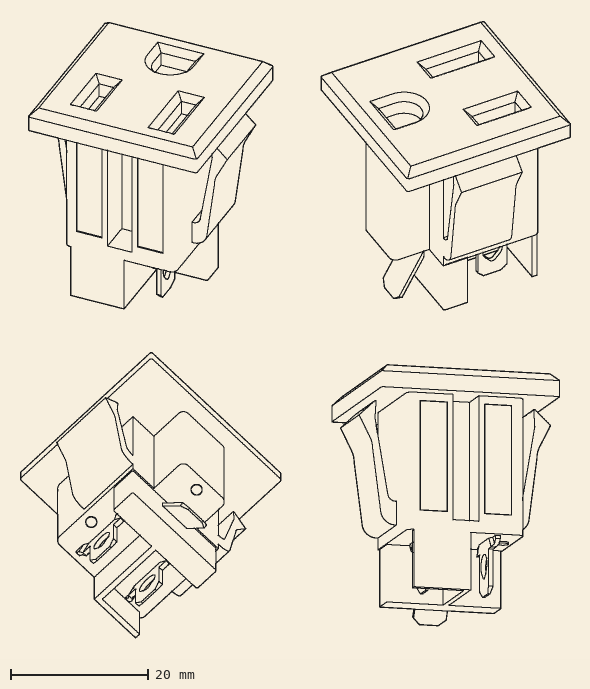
import cadquery as cq
import math


overall_width = 29.0
overall_height = 33.9

flange_size = 27.0
flange_thickness = 3.55
flange_bevel = 1.2
flange_corner_radius = 0.35

opening_bevel = 0.95
opening_bevel_depth = 1.0
opening_depth = 3.2
blade_center_x = 6.4
blade_center_y = -5.1
blade_opening_width = 4.2
hot_opening_length = 8.98
neutral_opening_length = 10.57
ground_radius = 3.7
ground_center_y = 6.88

body_width = 17.7
body_depth = 20.4
body_front_y = -10.9
body_back_y = 5.12
body_corner_radius = 0.98
neck_width = 9.0
neck_back_y = 11.2

slot_width = 3.9
slot_height = 18.65
slot_depth = 5.0
panel_width = 4.05
panel_height = 16.27
panel_center_x = 4.88
panel_top_z = -1.2
panel_depth = 0.2

skirt_bottom_z = -28.95
skirt_thickness = 0.85
skirt_right_x = 0.7
block_width = 17.35
block_front_y = 0.88
block_back_y = 4.9
block_edge_radius = 0.27

clip_front_y = -4.9
clip_back_y = body_back_y
clip_foot_z = -18.65
clip_heel_middle = (-10.55, -18.1)
clip_heel_end = (-11.22, -16.9)
clip_arm_end = (-12.45, -7.6)
clip_bend_middle = (-12.55, -6.68)
clip_bend_end = (-12.85, -5.83)
clip_barb = (-overall_width / 2, -2.58)
clip_top_outer = (-12.13, -0.35)
clip_top_inner = (-11.93, -0.35)
clip_inner_bend = (-12.1, -2.88)
clip_inner_arm_end = (-10.17, -14.13)
clip_inner_heel_middle = (-9.73, -14.88)
clip_inner_foot_z = -15.1

terminal_center_x = 4.7
terminal_center_y = -5.05
terminal_thickness = 0.7
terminal_width = 4.8
terminal_bottom_z = -28.45
terminal_tip_width = 2.85
shoulder_width = 7.73
shoulder_bottom_z = -21.95
fold_top_width = 5.22
wing_width = 9.7
wing_side_z = -20.88
wing_offset = 0.4
fold_width = 0.75
fold_bottom_z = -21.52
wire_hole_radius = 1.6
wire_hole_z = -23.95
wire_hole_bottom_z = -26.0
wire_hole_point_radius = 0.6

tip_length = 0.98
tip_thickness = 0.3

ground_angle = 30.0
ground_width = 4.95
ground_thickness = 0.6
ground_tip_width = 2.85
ground_tip_y = 9.25
ground_tip_z = flange_thickness - overall_height + tip_thickness / 2 * math.sin(math.radians(ground_angle))
ground_length = 11.52

pad_diameter = 1.63
pad_height = 0.25
rear_pad_center = (0.0, 9.42)
side_pad_center = (7.22, terminal_center_y)


def box(x_min, x_max, y_min, y_max, z_min, z_max):
    """Axis-aligned box between the given limits."""
    size = (x_max - x_min, y_max - y_min, z_max - z_min)
    return cq.Workplane("XY").box(*size, centered=False).translate((x_min, y_min, z_min))


def opening(outline):
    """Bevelled blind opening; outline(inset, depth) gives its wire at a depth below the flange face."""
    rim = outline(0, 0)
    throat = outline(opening_bevel, opening_bevel_depth)
    floor = outline(opening_bevel, opening_depth)
    bevel = cq.Workplane(cq.Solid.makeLoft([rim, throat], True))
    return bevel.union(cq.Workplane(cq.Solid.makeLoft([throat, floor], True)))


def blade_outline(center_x, length):
    """Outline function of a rectangular opening for a flat blade."""
    def outline(inset, depth):
        plane = cq.Workplane("XY", origin=(center_x, blade_center_y, flange_thickness - depth))
        return plane.rect(blade_opening_width - 2 * inset, length - 2 * inset).val()
    return outline


def ground_outline(inset, depth):
    """D-shaped outline, round towards the front."""
    radius = ground_radius - inset
    return (
        cq.Workplane("XY", origin=(0, ground_center_y, flange_thickness - depth))
        .moveTo(-radius, 0)
        .threePointArc((0, -radius), (radius, 0))
        .lineTo(radius, radius)
        .lineTo(-radius, radius)
        .close()
        .val()
    )


def make_flange():
    flange = (
        cq.Workplane("XY")
        .rect(flange_size, flange_size)
        .extrude(flange_thickness)
        .edges("|Z").fillet(flange_corner_radius)
    )
    bevelled_slab = (
        cq.Workplane("XY")
        .rect(flange_size, flange_size)
        .extrude(flange_thickness)
        .faces(">Z").edges().chamfer(flange_bevel)
    )
    flange = flange.intersect(bevelled_slab)
    flange = flange.cut(opening(blade_outline(-blade_center_x, hot_opening_length)))
    flange = flange.cut(opening(blade_outline(blade_center_x, neutral_opening_length)))
    return flange.cut(opening(ground_outline))


def make_body():
    half_width = body_width / 2
    body = box(-half_width, half_width, body_front_y, body_back_y, -body_depth, 0)
    body = body.edges("|Z and <Y").fillet(body_corner_radius)
    neck = box(-neck_width / 2, neck_width / 2, 0, neck_back_y, -body_depth, 0)
    neck = neck.edges("|Z and >Y").fillet(body_corner_radius)
    slot = box(-slot_width / 2, slot_width / 2, body_front_y, body_front_y + slot_depth, -slot_height, 0)
    body = body.union(neck).cut(slot)
    for center_x in (-panel_center_x, panel_center_x):
        body = body.cut(box(
            center_x - panel_width / 2, center_x + panel_width / 2,
            body_front_y, body_front_y + panel_depth,
            panel_top_z - panel_height, panel_top_z,
        ))
    return body


def make_skirt():
    half_block = block_width / 2
    block = box(-half_block, half_block, block_front_y, block_back_y, skirt_bottom_z, -body_depth)
    block = block.edges("|Z").fillet(block_edge_radius)
    front_wall = box(
        body_corner_radius - body_width / 2, skirt_right_x,
        body_front_y, body_front_y + skirt_thickness,
        skirt_bottom_z, -body_depth,
    )
    middle_wall = box(
        skirt_right_x - skirt_thickness, skirt_right_x,
        body_front_y, block_front_y,
        skirt_bottom_z, -body_depth,
    )
    return block.union(front_wall).union(middle_wall)


def make_clip():
    """Clip on the -X side, drawn as an XZ profile."""
    root_x = -body_width / 2
    return (
        cq.Workplane("XZ", origin=(0, clip_back_y, 0))
        .moveTo(root_x, clip_foot_z)
        .threePointArc(clip_heel_middle, clip_heel_end)
        .lineTo(*clip_arm_end)
        .threePointArc(clip_bend_middle, clip_bend_end)
        .lineTo(*clip_barb)
        .lineTo(*clip_top_outer)
        .lineTo(*clip_top_inner)
        .lineTo(*clip_inner_bend)
        .lineTo(*clip_inner_arm_end)
        .threePointArc(clip_inner_heel_middle, (root_x, clip_inner_foot_z))
        .close()
        .extrude(clip_back_y - clip_front_y)
    )


def make_blade(thickness, width, tip_width, length):
    """Blade hanging down from the origin, thin in X, with a tapered tip."""
    shank = (
        cq.Workplane("XY")
        .rect(thickness, width)
        .extrude(tip_length - length)
    )
    tip = (
        shank.faces("<Z").workplane(centerOption="CenterOfMass")
        .rect(thickness, width)
        .workplane(offset=tip_length)
        .rect(tip_thickness, tip_width)
        .loft(ruled=True, combine=False)
    )
    return shank.union(tip)


def make_wire_hole():
    """Pear-shaped hole through the terminal: a circle with a rounded point below it."""
    drop = wire_hole_z - wire_hole_bottom_z - wire_hole_point_radius
    tilt = math.acos((wire_hole_radius - wire_hole_point_radius) / drop)
    side, down = math.sin(tilt), math.cos(tilt)
    point_z = -drop
    return (
        cq.Workplane("YZ", origin=(-terminal_thickness, 0, wire_hole_z))
        .moveTo(-wire_hole_radius * side, -wire_hole_radius * down)
        .threePointArc((0, wire_hole_radius), (wire_hole_radius * side, -wire_hole_radius * down))
        .lineTo(wire_hole_point_radius * side, point_z - wire_hole_point_radius * down)
        .threePointArc(
            (0, point_z - wire_hole_point_radius),
            (-wire_hole_point_radius * side, point_z - wire_hole_point_radius * down),
        )
        .close()
        .extrude(2 * terminal_thickness)
    )


def terminal_plate(outline):
    """Plate of terminal thickness centred on x = 0, from its YZ outline."""
    return (
        cq.Workplane("YZ", origin=(-terminal_thickness / 2, 0, 0))
        .polyline(outline)
        .close()
        .extrude(terminal_thickness)
    )


def fold_section(center_x, top, bottom):
    """Section through the plate along a line from top to bottom, both given as (y, z)."""
    near_x = center_x - terminal_thickness / 2
    far_x = center_x + terminal_thickness / 2
    corners = [(near_x, *top), (far_x, *top), (far_x, *bottom), (near_x, *bottom)]
    return cq.Wire.makePolygon([cq.Vector(*corner) for corner in corners], close=True)


def make_terminal():
    """Terminal for the +X side, with the folded corners of its shoulders set outwards."""
    root_z = -body_depth
    blade = make_blade(terminal_thickness, terminal_width, terminal_tip_width, root_z - terminal_bottom_z)
    terminal = blade.translate((0, 0, root_z))
    half_shoulder, half_fold, half_wing = shoulder_width / 2, fold_top_width / 2, wing_width / 2
    terminal = terminal.union(terminal_plate([
        (-half_fold, root_z),
        (half_fold, root_z),
        (half_shoulder, shoulder_bottom_z),
        (-half_shoulder, shoulder_bottom_z),
    ]))
    inner_top = (half_fold, root_z)
    inner_bottom = (half_shoulder, shoulder_bottom_z)
    outer_top = (half_fold + fold_width, root_z)
    bevel_slope = (half_wing - half_shoulder) / (wing_side_z - shoulder_bottom_z)
    outer_bottom = (half_shoulder + bevel_slope * (fold_bottom_z - shoulder_bottom_z), fold_bottom_z)
    wing = terminal_plate([outer_top, (half_wing, root_z), (half_wing, wing_side_z), outer_bottom])
    wing = wing.translate((wing_offset, 0, 0))
    fold = cq.Workplane(cq.Solid.makeLoft(
        [fold_section(0, inner_top, inner_bottom), fold_section(wing_offset, outer_top, outer_bottom)],
        True,
    ))
    wing = wing.union(fold)
    terminal = terminal.union(wing).union(wing.mirror("XZ")).cut(make_wire_hole())
    return terminal.translate((terminal_center_x, terminal_center_y, 0))


def make_ground_terminal():
    """Tilted blade whose upper end is buried in the block."""
    blade = make_blade(ground_thickness, ground_width, ground_tip_width, ground_length)
    return (
        blade.translate((0, 0, ground_length))
        .rotate((0, 0, 0), (0, 0, 1), 90)
        .rotate((0, 0, 0), (1, 0, 0), ground_angle)
        .translate((0, ground_tip_y, ground_tip_z))
    )


def make_pad(center):
    pad = cq.Workplane("XY", origin=(*center, -body_depth)).circle(pad_diameter / 2)
    return pad.extrude(-pad_height)


clip = make_clip()
terminal = make_terminal()

result = make_flange().union(make_body()).union(make_skirt())
for side_part in (clip, terminal):
    result = result.union(side_part).union(side_part.mirror("YZ"))
result = result.union(make_ground_terminal())
for pad_center in (rear_pad_center, side_pad_center):
    result = result.union(make_pad(pad_center))